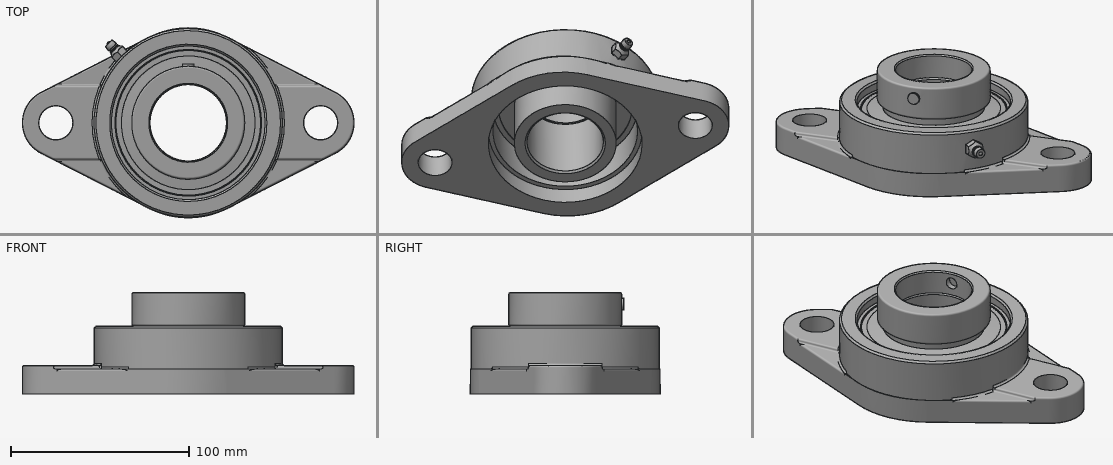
import cadquery as cq
import math


flange_length = 186.0
flange_width = 106.5
corner_height = 14.0
lug_height = 16.0
edge_slope = math.radians(27)
side_radius = 47.6
end_radius = 20.6
edge_round = 1.1
bolt_spacing = 148.5
bolt_diameter = 19.0
lug_half_width = 20.6

barrel_diameter = 105.6
barrel_height = 38.1
barrel_chamfer = 1.1
foot_fillet = 1.1
plain_side_end = 33.5
seat_diameter = 86.1
mouth_diameter = 88.2

shaft_diameter = 42.8
bearing_mid = 22.0
outer_ring_width = 22.0
outer_ring_bore = 81.1
outer_ring_chamfer = 0.5
slinger_diameter = 75.0
slinger_thickness = 1.0
slinger_rise = 0.7
seal_thickness = 1.5
shoulder_diameter = 57.1
nose_diameter = 50.2
nose_top = 43.2
ring_bore_chamfer = 1.1

collar_diameter = 63.5
collar_bottom = 38.1
collar_top = 57.0
collar_round = 1.1
collar_bore_chamfer = 0.7
screw_diameter = 6.7
screw_height = 50.4
screw_inner_end = 25.1
screw_outer_end = 33.0

nipple_height = 27.5
nipple_angle = 135.0
shank_diameter = 4.8
shank_start = 47.5
hex_start = 52.0
hex_end = 57.1
hex_corners = 10.0
hex_bevel = 1.1
flare_end = 58.2
groove_start = 59.0
groove_diameter = 4.5
bead_start = 59.9
bead_end = 61.4
bead_diameter = 6.0
head_end = 63.0
head_end_diameter = 5.2
ball_diameter = 2.2
ball_rise = 0.7

outer_ring_top = bearing_mid + outer_ring_width / 2
outer_ring_bottom = bearing_mid - outer_ring_width / 2
inner_ring_bottom = 2 * bearing_mid - nose_top


def tube(outer_diameter, inner_diameter, bottom, top):
    """A plain ring around the shaft axis."""
    ring = cq.Workplane("XY", origin=(0, 0, bottom)).circle(outer_diameter / 2).circle(inner_diameter / 2)
    return ring.extrude(top - bottom)


def flange_outline():
    """Rhombic outline: two side arcs and two end arcs joined by their tangent lines."""
    half_length = flange_length / 2
    half_width = flange_width / 2
    sine, cosine = math.sin(edge_slope), math.cos(edge_slope)
    side_x = side_radius * sine
    side_y = half_width - side_radius * (1 - cosine)
    end_x = half_length - end_radius * (1 - sine)
    end_y = side_y - (end_x - side_x) * math.tan(edge_slope)
    return (
        cq.Workplane("XY")
        .moveTo(-side_x, side_y)
        .threePointArc((0, half_width), (side_x, side_y))
        .lineTo(end_x, end_y)
        .threePointArc((half_length, 0), (end_x, -end_y))
        .lineTo(side_x, -side_y)
        .threePointArc((0, -half_width), (-side_x, -side_y))
        .lineTo(-end_x, -end_y)
        .threePointArc((-half_length, 0), (-end_x, end_y))
        .close()
    )


def lug_section():
    """Cross-section in YZ: a raised middle band that drops to the corners in two quarter arcs."""
    step_round = (lug_height - corner_height) / 2
    step_inner = lug_half_width - step_round
    step_outer = lug_half_width + step_round
    arc_sag = step_round * (1 - math.sqrt(0.5))
    step_middle = corner_height + step_round
    return (
        cq.Workplane("YZ", origin=(-flange_length / 2, 0, 0))
        .moveTo(step_outer, 0)
        .lineTo(step_outer, corner_height)
        .threePointArc((lug_half_width + arc_sag, corner_height + arc_sag), (lug_half_width, step_middle))
        .tangentArcPoint((step_inner, lug_height), relative=False)
        .lineTo(-step_inner, lug_height)
        .tangentArcPoint((-lug_half_width, step_middle), relative=False)
        .tangentArcPoint((-step_outer, corner_height), relative=False)
        .lineTo(-step_outer, 0)
        .close()
    )


def foot(height):
    """Disc that carries the fillet between the barrel and a flange face at the given height."""
    barrel_radius = barrel_diameter / 2
    foot_radius = barrel_radius + foot_fillet
    diagonal = foot_fillet * (1 - math.sqrt(0.5))
    return (
        cq.Workplane("XZ")
        .lineTo(foot_radius, 0)
        .lineTo(foot_radius, height)
        .threePointArc((barrel_radius + diagonal, height + diagonal), (barrel_radius, height + foot_fillet))
        .lineTo(0, height + foot_fillet)
        .close()
        .revolve(360, (0, 0, 0), (0, 1, 0))
    )


def flange_plate(height):
    """Plate of the flange outline, rounded along its top edge."""
    return flange_outline().extrude(height).faces(">Z").edges().fillet(edge_round)


def make_flange():
    """Thin plate for the corners, joined to the part of a thicker plate that forms the lugs."""
    lugs = flange_plate(lug_height).intersect(lug_section().extrude(flange_length))
    return flange_plate(corner_height).union(lugs)


def make_feet():
    """Barrel foot, filleted down to the corners and the lugs but plain along the flange sides."""
    feet_top = lug_height + foot_fillet
    lug_band = cq.Workplane("XY").rect(flange_length, 2 * lug_half_width).extrude(feet_top)
    sides = cq.Workplane("XY", origin=(0, 0, corner_height)).rect(2 * plain_side_end, flange_width)
    feet = foot(corner_height).cut(sides.extrude(feet_top))
    feet = feet.union(foot(lug_height).intersect(lug_band))
    return feet.intersect(flange_outline().extrude(feet_top))


def make_barrel():
    barrel = cq.Workplane("XY", origin=(0, 0, corner_height)).circle(barrel_diameter / 2)
    return barrel.extrude(barrel_height - corner_height).faces(">Z").edges().chamfer(barrel_chamfer)


def bearing_seat():
    """Space for the bearing: a straight bore with a 45 degree mouth."""
    mouth_depth = (mouth_diameter - seat_diameter) / 2
    seat = cq.Workplane("XY").circle(seat_diameter / 2).extrude(barrel_height)
    mouth = cq.Workplane("XY", origin=(0, 0, barrel_height)).circle(mouth_diameter / 2)
    return seat.union(mouth.extrude(-mouth_depth, taper=45))


def bolt_holes():
    places = [(-bolt_spacing / 2, 0), (bolt_spacing / 2, 0)]
    return cq.Workplane("XY").pushPoints(places).circle(bolt_diameter / 2).extrude(lug_height)


def make_housing():
    """Housing whose nipple socket has exactly the shape of the nipple's root."""
    body = make_flange().union(make_feet()).union(make_barrel())
    return body.cut(bolt_holes()).cut(bearing_seat()).cut(make_nipple())


def nipple_blank():
    """Turned shape of the nipple around Z: shank, bevelled hexagon blank, grooved head and ball tip."""
    shank_radius = shank_diameter / 2
    hex_radius = hex_corners / 2
    bead_radius = bead_diameter / 2
    groove_radius = groove_diameter / 2
    tip_radius = ball_diameter / 2
    cap_radius = (tip_radius**2 + ball_rise**2) / (2 * ball_rise)
    return (
        cq.Workplane("XZ")
        .moveTo(0, shank_start)
        .lineTo(shank_radius, shank_start)
        .lineTo(shank_radius, hex_start)
        .lineTo(hex_radius, hex_start)
        .lineTo(hex_radius, hex_end - hex_bevel)
        .lineTo(hex_radius - hex_bevel, hex_end)
        .lineTo(bead_radius, flare_end)
        .lineTo(bead_radius, groove_start)
        .lineTo(groove_radius, groove_start)
        .lineTo(groove_radius, bead_start)
        .lineTo(bead_radius, bead_start)
        .lineTo(bead_radius, bead_end)
        .lineTo(head_end_diameter / 2, head_end)
        .lineTo(tip_radius, head_end)
        .radiusArc((0, head_end + ball_rise), -cap_radius)
        .close()
        .revolve(360, (0, 0, 0), (0, 1, 0))
    )


def make_nipple():
    """Grease nipple set radially into the barrel."""
    hexagon = cq.Workplane("XY").polygon(6, hex_corners).extrude(head_end + ball_rise)
    nipple = nipple_blank().intersect(hexagon)
    nipple = nipple.rotate((0, 0, 0), (0, 1, 0), 90)
    return nipple.rotate((0, 0, 0), (0, 0, 1), nipple_angle).translate((0, 0, nipple_height))


def make_outer_ring():
    ring = tube(seat_diameter, outer_ring_bore, outer_ring_bottom, outer_ring_top)
    return ring.faces(">Z").edges(cq.selectors.RadiusNthSelector(0)).chamfer(outer_ring_chamfer)


def make_seal():
    return tube(outer_ring_bore, slinger_diameter, outer_ring_top - seal_thickness, outer_ring_top)


def make_slinger():
    """Thin disc on the inner ring whose top falls gently outwards."""
    inner, outer = shoulder_diameter / 2, slinger_diameter / 2
    bottom = outer_ring_top - slinger_thickness
    return (
        cq.Workplane("XZ")
        .moveTo(inner, bottom)
        .lineTo(outer, bottom)
        .lineTo(outer, outer_ring_top)
        .lineTo(inner, outer_ring_top + slinger_rise)
        .close()
        .revolve(360, (0, 0, 0), (0, 1, 0))
    )


def make_inner_ring():
    """Inner ring whose narrower nose enters the collar."""
    shoulder = tube(shoulder_diameter, shaft_diameter, inner_ring_bottom, collar_bottom)
    nose = tube(nose_diameter, shaft_diameter, collar_bottom, nose_top)
    ring = shoulder.union(nose)
    bore_edges = ring.faces("<Z or >Z").edges(cq.selectors.RadiusNthSelector(0))
    return bore_edges.chamfer(ring_bore_chamfer)


def make_screw():
    return (
        cq.Workplane("XZ", origin=(0, screw_inner_end, screw_height))
        .circle(screw_diameter / 2)
        .extrude(screw_inner_end - screw_outer_end)
    )


def make_collar():
    """Locking collar with a recess for the ring's nose and a radial screw hole."""
    collar = cq.Workplane("XY", origin=(0, 0, collar_bottom)).circle(collar_diameter / 2)
    collar = collar.extrude(collar_top - collar_bottom).faces("<Z or >Z").edges().fillet(collar_round)
    collar = collar.cut(tube(nose_diameter, shaft_diameter, collar_bottom, nose_top))
    bore = cq.Workplane("XY", origin=(0, 0, collar_bottom)).circle(shaft_diameter / 2)
    collar = collar.cut(bore.extrude(collar_top))
    collar = collar.faces(">Z").edges(cq.selectors.RadiusNthSelector(0)).chamfer(collar_bore_chamfer)
    screw_hole = cq.Workplane("XZ", origin=(0, 0, screw_height)).circle(screw_diameter / 2)
    return collar.cut(screw_hole.extrude(-collar_diameter))


nipple = make_nipple()
housing = make_housing()
outer_ring = make_outer_ring()
seal = make_seal()
slinger = make_slinger()
inner_ring = make_inner_ring()
collar = make_collar()
screw = make_screw()

result = cq.Compound.makeCompound([
    housing.val(),
    outer_ring.val(),
    seal.val(),
    slinger.val(),
    inner_ring.val(),
    collar.val(),
    screw.val(),
    nipple.val(),
])